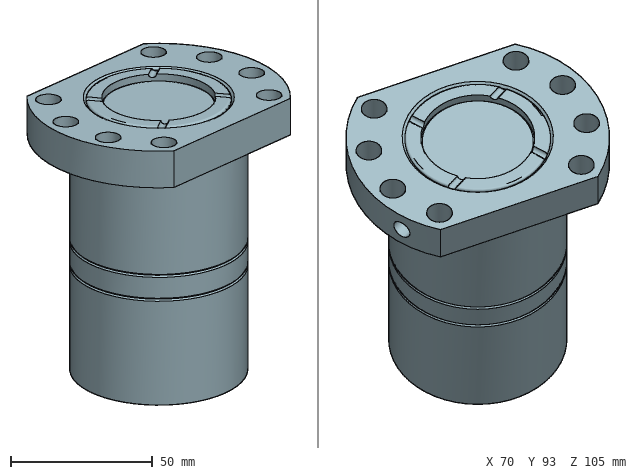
import cadquery as cq
import math

total_height = 105.0
flange_diameter = 93.0
flange_width = 70.0
flange_thickness = 14.2
flange_underside = total_height - flange_thickness

body_diameter = 63.0
band_bottom = 41.4
band_top = 49.5
groove_width = 1.2
groove_depth = 0.5

seat_diameter = 51.5
seat_depth = 2.5
seat_chamfer = 0.9

ring_bore = 40.2
ring_edge_fillet = 0.9

disc_chamfer = 0.5

channel_diameter = 2.7
channel_count = 4
channel_first_angle = 30
channel_offset = 6.4

bolt_hole_diameter = 9.0
bolt_circle_radius = 39.0
bolt_angles = (45, 75, 105, 135, 225, 255, 285, 315)

port_diameter = 6.9
port_depth = 10.5
port_angle = 120


def revolve_about_z(profile):
    """Turn a closed (radius, height) profile around the Z axis."""
    return cq.Workplane("XZ").polyline(profile).close().revolve(360, (0, 0), (0, 1))


def make_rod(diameter, start, length, offset, height, angle):
    """Horizontal rod pointing at `angle` about Z, shifted sideways by `offset`."""
    rod = cq.Workplane("YZ").workplane(offset=start).center(offset, height)
    rod = rod.circle(diameter / 2).extrude(length)
    return rod.rotate((0, 0, 0), (0, 0, 1), angle)


def make_flange():
    half_width = flange_width / 2
    flange_radius = flange_diameter / 2
    corner_y = math.sqrt(flange_radius**2 - half_width**2)
    outline = (
        cq.Workplane("XY")
        .workplane(offset=flange_underside)
        .moveTo(half_width, -corner_y)
        .lineTo(half_width, corner_y)
        .threePointArc((0, flange_radius), (-half_width, corner_y))
        .lineTo(-half_width, -corner_y)
        .threePointArc((0, -flange_radius), (half_width, -corner_y))
        .close()
    )
    return outline.extrude(flange_thickness)


def make_body():
    body_radius = body_diameter / 2
    root_radius = body_radius - groove_depth
    profile = [
        (0, 0),
        (body_radius, 0),
        (body_radius, band_bottom - groove_width),
        (root_radius, band_bottom - groove_width / 2),
        (body_radius, band_bottom),
        (body_radius, band_top),
        (root_radius, band_top + groove_width / 2),
        (body_radius, band_top + groove_width),
        (body_radius, flange_underside),
        (0, flange_underside),
    ]
    return revolve_about_z(profile)


def make_seat_cutter():
    """Counterbore with a chamfered mouth; its floor keeps a disc with a chamfered edge."""
    floor = total_height - seat_depth
    seat_radius = seat_diameter / 2
    disc_radius = ring_bore / 2
    profile = [
        (0, floor),
        (disc_radius - disc_chamfer, floor),
        (disc_radius, floor - disc_chamfer),
        (seat_radius, floor - disc_chamfer),
        (seat_radius, total_height - seat_chamfer),
        (seat_radius + seat_chamfer, total_height),
        (0, total_height),
    ]
    return revolve_about_z(profile)


def make_ring():
    ring_height = seat_depth + disc_chamfer
    ring = (
        cq.Workplane("XY")
        .workplane(offset=total_height - ring_height)
        .circle(seat_diameter / 2)
        .circle(ring_bore / 2)
        .extrude(ring_height)
    )
    outer_edge = 1
    ring = ring.edges(">Z").edges(cq.selectors.RadiusNthSelector(outer_edge)).fillet(ring_edge_fillet)
    for index in range(channel_count):
        angle = channel_first_angle + index * 360 / channel_count
        channel = make_rod(channel_diameter, 0, seat_diameter, channel_offset, total_height, angle)
        ring = ring.cut(channel)
    return ring


def make_bolt_holes():
    holes = cq.Workplane("XY").workplane(offset=flange_underside)
    positions = [
        (
            bolt_circle_radius * math.cos(math.radians(angle)),
            bolt_circle_radius * math.sin(math.radians(angle)),
        )
        for angle in bolt_angles
    ]
    return holes.pushPoints(positions).circle(bolt_hole_diameter / 2).extrude(flange_thickness)


def make_port():
    start = flange_diameter / 2 - port_depth
    height = total_height - flange_thickness / 2
    return make_rod(port_diameter, start, 2 * port_depth, 0, height, port_angle)


housing = make_flange().union(make_body())
housing = housing.cut(make_seat_cutter()).cut(make_bolt_holes()).cut(make_port())
result = housing.union(make_ring())